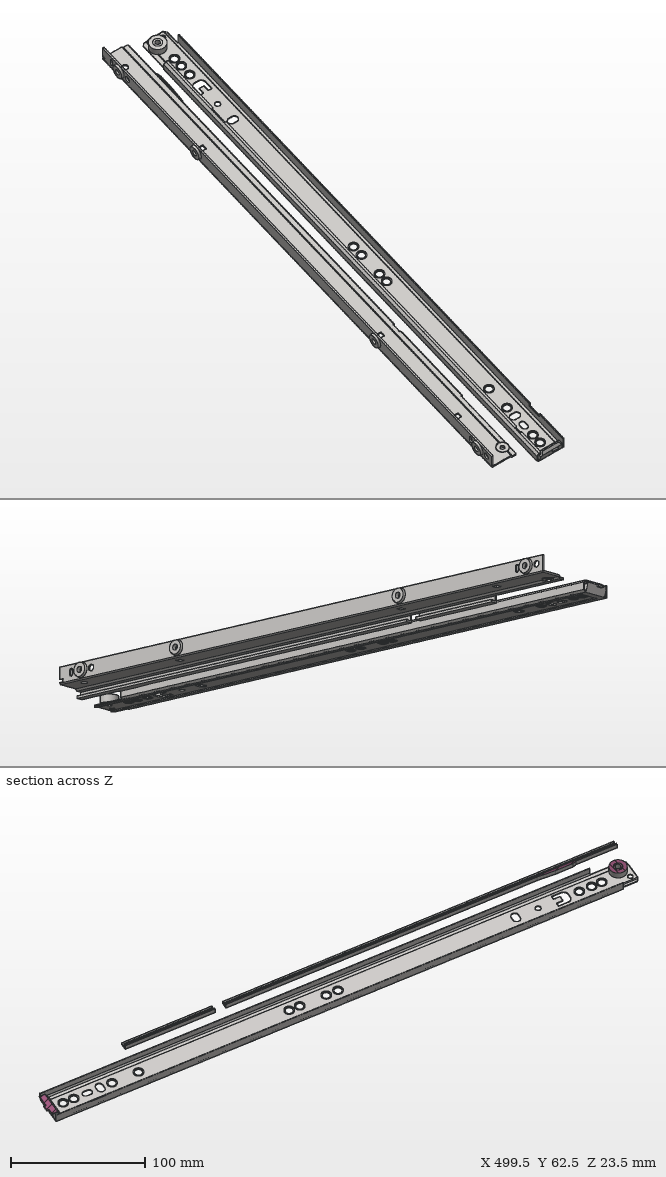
import cadquery as cq
import math

LENGTH = 499.5
OUTER_SHEET = 1.0
INNER_SHEET = 1.5

OUTER_BACK_Y = 62.5
OUTER_FRONT_Y = 37.0
OUTER_MID_Y = (OUTER_BACK_Y + OUTER_FRONT_Y) / 2
OUTER_TOP = 9.5
OUTER_END_X = 496.0
WEB_BACK_Y = 58.0
WEB_FRONT_Y = 43.0
WEB_RISE = 0.75
CURL_EDGE_Y = 41.0
CURL_DROP = 2.5
CURL_SHOULDER = 2.0
BOTTOM_BEND = 1.75

BACK_WALL_START_X = 14.5
CURL_START_X = 29.5
TONGUE_FRONT_Y = 38.5
TONGUE_BACK_Y = 61.0
TONGUE_CORNER = 2.0
STOP_FOOT_X = 489.5
STOP_LEAN = 1.5
STOP_TOP = 7.5
STOP_MARGIN = 2.5
STOP_CORNER = 3.0
STOP_NOSE = 1.5
STOP_NOSE_WIDTH = 5.0

SCREW_HOLES_X = (26.0, 34.5, 45.0, 249.5, 259.5, 282.0, 291.0, 419.0, 441.5, 474.0, 483.0)
SCREW_HOLE_R = 3.0
SCREW_SINK_R = 4.0
SCREW_SINK_DEPTH = 0.5
SMALL_HOLE_X = 80.0
SMALL_HOLE_R = 2.25
UPRIGHT_SLOTS_X = (99.0, 451.5)
UPRIGHT_SLOT = (9.0, 6.0)
FLAT_SLOT_X = 462.5
FLAT_SLOT = (8.0, 5.0)
CORNER_HOLE = (4.5, 55.0)
CORNER_HOLE_R = 2.0
LATCH_START_X = 53.5
LATCH_END_X = 65.5
LATCH_WIDTH = 11.0
LATCH_ROUND = 4.0
LATCH_TONGUE = (5.5, 4.5)
BACK_NOTCH = (453.5, 466.0)
BACK_NOTCH_DEPTH = 3.0
CURL_NOTCHES = ((86.0, 102.5), (465.5, 471.5))

ROLLER_X = 10.0
ROLLER_Y = 46.0
ROLLER_R = 7.0
ROLLER_HEIGHT = 6.0
PIN_R = 3.75
PIN_BORE_R = 2.0

INNER_TOP = 23.5
INNER_LENGTH = 486.5
FLANGE_Y = 2.0
INNER_WEB_TOP = 11.5
INNER_BEND = 1.0
LEDGE_START_Y = 20.0
LEDGE_DROP = 1.5
HOOK_Y = 26.5
HOOK_BOTTOM = 3.0
HOOK_WIDTH = 5.5
HOOK_BEVEL = 1.0
HOOK_RETURN = 2.0
HOOK_END_X = 417.5
HOOK_GAP = (332.0, 341.0)
EDGE_Y = 25.0

BOSSES_X = (21.5, 118.0, 342.0, 470.0)
BOSS_Z = 17.5
BOSS_BASE_R = 6.0
BOSS_TIP_R = 5.5
BOSS_HOLE_R = 2.25
FLANGE_SLOTS_X = (11.5, 460.5)
FLANGE_SLOT = (6.0, 3.0)
FLANGE_HOLES_X = (31.5, 480.0)
FLANGE_HOLE_R = 2.5
WEB_HOLES_Y = 10.5
WEB_ROUND_X = 17.0
WEB_ROUND_R = 2.5
WEB_SQUARES_X = (113.5, 336.0, 432.5)
WEB_SQUARE = 4.5
RELIEF_LENGTH = 3.0
RELIEF_HEIGHT = 2.5
PAD_X = 476.0
PAD_Y = 20.0
PAD_R = 5.0
RIVET_HOLE_R = 1.75
PAD_DROP = 0.75
CAM_POINTS_X = (35.0, 38.0, 53.0, 68.0)
CAM_HEIGHT = 1.0


def folded_sheet(outside, thickness, length):
    """Extrude along X a bent strip whose outside face follows the (y, z) points.

    The material lies to the left of the direction in which the points run.
    """
    normals = []
    for (y0, z0), (y1, z1) in zip(outside, outside[1:]):
        span = math.hypot(y1 - y0, z1 - z0)
        normals.append((-(z1 - z0) / span, (y1 - y0) / span))
    inside = []
    for (y, z), before, after in zip(outside, normals[:1] + normals, normals + normals[-1:]):
        mitre = thickness / (1 + before[0] * after[0] + before[1] * after[1])
        inside.append((y + mitre * (before[0] + after[0]), z + mitre * (before[1] + after[1])))
    return cq.Workplane("YZ").polyline(outside + inside[::-1]).close().extrude(length)


def block(x_range, y_range, z_range):
    """A box between pairs of limits."""
    size = [high - low for low, high in (x_range, y_range, z_range)]
    corner = (x_range[0], y_range[0], z_range[0])
    return cq.Workplane("XY").box(*size, centered=False).translate(corner)


def upright_cylinder(x, y, radius, bottom, top):
    return cq.Workplane("XY", origin=(x, y, bottom)).circle(radius).extrude(top - bottom)


def outer_section():
    """Channel with a raised web, a plain back wall and a curled front wall."""
    return folded_sheet(
        [
            (CURL_EDGE_Y, OUTER_TOP - CURL_DROP),
            (CURL_EDGE_Y, OUTER_TOP),
            (OUTER_FRONT_Y + CURL_SHOULDER, OUTER_TOP),
            (OUTER_FRONT_Y, OUTER_TOP - CURL_SHOULDER),
            (OUTER_FRONT_Y, BOTTOM_BEND),
            (OUTER_FRONT_Y + BOTTOM_BEND, 0),
            (WEB_FRONT_Y - WEB_RISE, 0),
            (WEB_FRONT_Y, WEB_RISE),
            (WEB_BACK_Y, WEB_RISE),
            (WEB_BACK_Y + WEB_RISE, 0),
            (OUTER_BACK_Y, 0),
            (OUTER_BACK_Y, OUTER_TOP),
        ],
        OUTER_SHEET,
        OUTER_END_X,
    )


def trim_outer_start(rail):
    """Leave only a flat tongue at the start, where the roller sits."""
    above = (OUTER_SHEET, OUTER_TOP)
    whole = (0, OUTER_TOP)
    rail = rail.cut(block((0, CURL_START_X), (OUTER_FRONT_Y, TONGUE_FRONT_Y), whole))
    rail = rail.cut(block((0, CURL_START_X), (OUTER_FRONT_Y, WEB_FRONT_Y - WEB_RISE), above))
    rail = rail.cut(block((0, BACK_WALL_START_X), (TONGUE_BACK_Y, OUTER_BACK_Y), whole))
    return rail.edges("|Z and <X").chamfer(TONGUE_CORNER)


def end_stop():
    """Plate at the far end, bent up and leaning outwards, with a nose on its crest."""
    crest_x = LENGTH - STOP_NOSE
    plate_front = OUTER_FRONT_Y + STOP_MARGIN
    width = OUTER_BACK_Y - OUTER_FRONT_Y - 2 * STOP_MARGIN
    plate = (
        cq.Workplane("XZ", origin=(0, OUTER_BACK_Y - STOP_MARGIN, 0))
        .polyline(
            [
                (STOP_FOOT_X, 0),
                (OUTER_END_X, 0),
                (crest_x, STOP_TOP),
                (OUTER_END_X, OUTER_TOP),
                (OUTER_END_X - STOP_LEAN, OUTER_TOP),
                (STOP_FOOT_X, OUTER_SHEET),
            ]
        )
        .close()
        .extrude(width)
    )
    outline = block((STOP_FOOT_X, LENGTH), (plate_front, plate_front + width), (0, OUTER_TOP))
    plate = plate.intersect(outline.edges("|X and >Z").chamfer(STOP_CORNER))
    nose_sides = (OUTER_MID_Y, OUTER_MID_Y + STOP_NOSE_WIDTH)
    nose = block((OUTER_END_X, LENGTH), nose_sides, (STOP_TOP - STOP_NOSE, STOP_TOP))
    return plate.union(nose)


def outer_openings():
    """All cutters for the web, as one tool."""
    web_top = WEB_RISE + OUTER_SHEET
    mid = cq.Workplane("XY", origin=(0, OUTER_MID_Y, 0))
    tool = mid.pushPoints([(x, 0) for x in SCREW_HOLES_X]).circle(SCREW_HOLE_R).extrude(OUTER_TOP)
    for x in SCREW_HOLES_X:
        sink_bottom = web_top - SCREW_SINK_DEPTH
        tool = tool.union(upright_cylinder(x, OUTER_MID_Y, SCREW_SINK_R, sink_bottom, web_top))
    tool = tool.union(upright_cylinder(SMALL_HOLE_X, OUTER_MID_Y, SMALL_HOLE_R, 0, OUTER_TOP))
    tool = tool.union(upright_cylinder(*CORNER_HOLE, CORNER_HOLE_R, 0, OUTER_TOP))
    uprights = mid.pushPoints([(x, 0) for x in UPRIGHT_SLOTS_X])
    tool = tool.union(uprights.slot2D(*UPRIGHT_SLOT, 90).extrude(OUTER_TOP))
    return tool.union(mid.center(FLAT_SLOT_X, 0).slot2D(*FLAT_SLOT).extrude(OUTER_TOP))


def latch_window():
    """Window rounded at its start, less the tongue that stands at its other end."""
    sides = (OUTER_MID_Y - LATCH_WIDTH / 2, OUTER_MID_Y + LATCH_WIDTH / 2)
    window = block((LATCH_START_X, LATCH_END_X), sides, (0, OUTER_TOP))
    window = window.edges("|Z and <X").fillet(LATCH_ROUND)
    length, width = LATCH_TONGUE
    tongue_sides = (OUTER_MID_Y - width / 2, OUTER_MID_Y + width / 2)
    return window.cut(block((LATCH_END_X - length, LATCH_END_X), tongue_sides, (0, OUTER_TOP)))


def outer_rail():
    rail = trim_outer_start(outer_section()).union(end_stop())
    rail = rail.cut(outer_openings()).cut(latch_window())
    back = (OUTER_BACK_Y - OUTER_SHEET, OUTER_BACK_Y)
    rail = rail.cut(block(BACK_NOTCH, back, (OUTER_TOP - BACK_NOTCH_DEPTH, OUTER_TOP)))
    curl_edge = (CURL_EDGE_Y - OUTER_SHEET, CURL_EDGE_Y)
    for notch in CURL_NOTCHES:
        rail = rail.cut(block(notch, curl_edge, (OUTER_TOP - CURL_DROP, OUTER_TOP)))
    roller_bottom = WEB_RISE + OUTER_SHEET
    pin = upright_cylinder(ROLLER_X, ROLLER_Y, PIN_R, WEB_RISE, roller_bottom + ROLLER_HEIGHT)
    bore = upright_cylinder(ROLLER_X, ROLLER_Y, PIN_BORE_R, 0, OUTER_TOP)
    return rail.union(pin).cut(bore)


def roller():
    """Ring that turns on the hollow pin of the outer rail."""
    bottom = WEB_RISE + OUTER_SHEET
    ring = cq.Workplane("XY", origin=(ROLLER_X, ROLLER_Y, bottom)).circle(ROLLER_R).circle(PIN_R)
    return ring.extrude(ROLLER_HEIGHT)


def inner_section():
    """Upright flange, web, lowered ledge and the hook folded under it."""
    web_bottom = INNER_WEB_TOP - INNER_SHEET
    ledge_top = INNER_WEB_TOP - LEDGE_DROP
    return folded_sheet(
        [
            (HOOK_Y - HOOK_WIDTH, HOOK_BOTTOM + HOOK_RETURN),
            (HOOK_Y - HOOK_WIDTH, HOOK_BOTTOM),
            (HOOK_Y, HOOK_BOTTOM),
            (HOOK_Y, ledge_top - HOOK_BEVEL),
            (HOOK_Y - HOOK_BEVEL, ledge_top),
            (LEDGE_START_Y + LEDGE_DROP, ledge_top),
            (LEDGE_START_Y, INNER_WEB_TOP),
            (FLANGE_Y + INNER_SHEET, INNER_WEB_TOP),
            (FLANGE_Y + INNER_SHEET, INNER_TOP),
        ],
        INNER_SHEET,
        INNER_LENGTH,
    ).cut(
        cq.Workplane("YZ")
        .polyline(
            [
                (FLANGE_Y, web_bottom),
                (FLANGE_Y + INNER_BEND, web_bottom),
                (FLANGE_Y, web_bottom + INNER_BEND),
            ]
        )
        .close()
        .extrude(INNER_LENGTH)
    )


def trim_hook(rail):
    """Remove the hook in its gap and along the end of the rail."""
    below = (0, INNER_WEB_TOP - LEDGE_DROP - INNER_SHEET)
    for x_range in (HOOK_GAP, (HOOK_END_X, INNER_LENGTH)):
        rail = rail.cut(block(x_range, (LEDGE_START_Y, HOOK_Y), below))
        rail = rail.cut(block(x_range, (EDGE_Y, HOOK_Y), (0, INNER_WEB_TOP)))
    return rail


def cam():
    """Low bump on the outside of the hook."""
    foot, top_start, top_end, end = CAM_POINTS_X
    return (
        cq.Workplane("XY", origin=(0, HOOK_Y, HOOK_BOTTOM))
        .polyline([(foot, 0), (top_start, CAM_HEIGHT), (top_end, CAM_HEIGHT), (end, 0)])
        .close()
        .extrude(INNER_WEB_TOP - LEDGE_DROP - HOOK_BOTTOM)
    )


def flange_boss(x):
    """Conical boss standing out from the flange towards -Y."""
    return (
        cq.Workplane("XZ", origin=(x, FLANGE_Y, BOSS_Z))
        .circle(BOSS_BASE_R)
        .workplane(offset=FLANGE_Y)
        .circle(BOSS_TIP_R)
        .loft()
    )


def flange_openings():
    depth = FLANGE_Y + INNER_SHEET
    plane = cq.Workplane("XZ", origin=(0, depth, BOSS_Z))
    tool = plane.pushPoints([(x, 0) for x in BOSSES_X]).circle(BOSS_HOLE_R).extrude(depth)
    holes = plane.pushPoints([(x, 0) for x in FLANGE_HOLES_X]).circle(FLANGE_HOLE_R).extrude(depth)
    slots = plane.pushPoints([(x, 0) for x in FLANGE_SLOTS_X]).slot2D(*FLANGE_SLOT, 90).extrude(depth)
    return tool.union(holes).union(slots)


def inner_web_openings():
    squares = cq.Workplane("XY").pushPoints([(x, WEB_HOLES_Y) for x in WEB_SQUARES_X])
    tool = squares.rect(WEB_SQUARE, WEB_SQUARE).extrude(INNER_WEB_TOP)
    return tool.union(upright_cylinder(WEB_ROUND_X, WEB_HOLES_Y, WEB_ROUND_R, 0, INNER_WEB_TOP))


def add_pad(rail):
    """Round pad between the levels of web and ledge, pierced by a rivet hole."""
    pad_top = INNER_WEB_TOP - PAD_DROP
    rail = rail.cut(upright_cylinder(PAD_X, PAD_Y, PAD_R, pad_top, INNER_WEB_TOP))
    rail = rail.union(upright_cylinder(PAD_X, PAD_Y, PAD_R, pad_top - INNER_SHEET, pad_top))
    return rail.cut(upright_cylinder(PAD_X, PAD_Y, RIVET_HOLE_R, 0, INNER_WEB_TOP))


def inner_rail():
    rail = trim_hook(inner_section()).union(cam())
    for x in BOSSES_X:
        rail = rail.union(flange_boss(x))
    rail = add_pad(rail.cut(flange_openings()).cut(inner_web_openings()))
    nick = (INNER_WEB_TOP, INNER_WEB_TOP + RELIEF_HEIGHT)
    return rail.cut(block((0, RELIEF_LENGTH), (FLANGE_Y, FLANGE_Y + INNER_SHEET), nick))


result = cq.Compound.makeCompound([outer_rail().val(), roller().val(), inner_rail().val()])